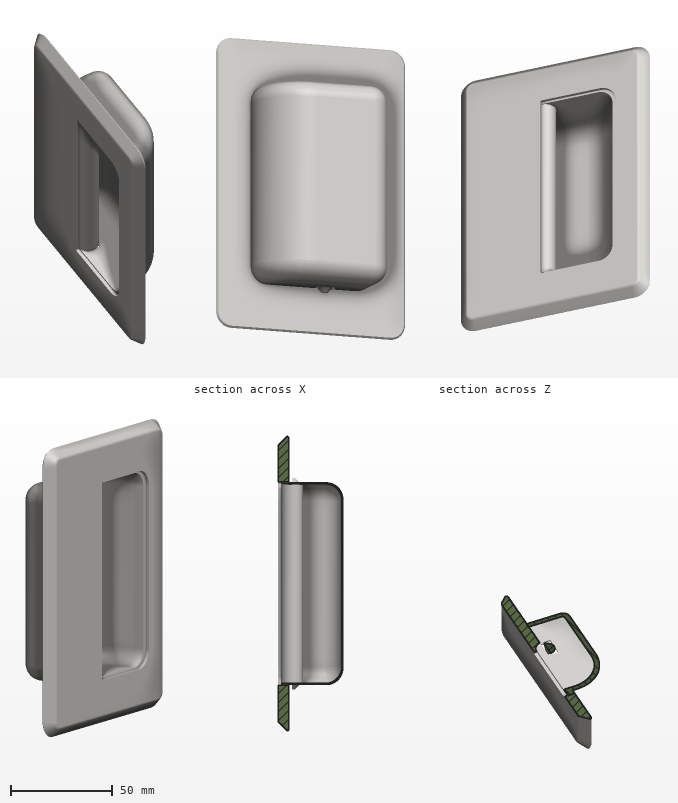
import cadquery as cq


plate_width = 100.0
plate_height = 145.0
plate_thickness = 5.5
plate_corner_radius = 8.0
plate_bevel_rounding = 2.0
plate_back_chamfer = 0.9
rim_flat = 0.02
plate_bevel = plate_thickness - plate_back_chamfer - rim_flat

overall_depth = 32.0
cup_width = 64.0
cup_height = 99.3
cup_wall = 0.75
cup_edge_radius = 8.5
cup_sweep_radius = 24.5

bar_radius = 5.35
bar_cover = 1.5
bar_end_gap = 0.35
bar_x = -6.3
bar_y = bar_cover + bar_radius
snap_radius = 4.0
snap_tip_radius = 1.5
snap_cone_height = snap_radius - snap_tip_radius
snap_stub_length = 0.9

opening_right = 33.6
opening_height = 99.8
opening_corner_radius = 8.5
opening_left_rounding = 0.8
collar_depth = 1.7

window_width = 9.75
window_front = bar_y + 0.3
window_back = bar_y + snap_radius + 0.05
window_x = -6.5
slot_neck_width = 8.5

cup_inner_height = cup_height - 2 * cup_wall
cup_inner_right = cup_width / 2 - cup_wall
bar_half_length = cup_inner_height / 2 - bar_end_gap


def box_between(x_range, y_range, z_range):
    """Box spanning the given ranges along X, Y and Z."""
    size = [high - low for low, high in (x_range, y_range, z_range)]
    corner = (x_range[0], y_range[0], z_range[0])
    return cq.Workplane("XY").box(*size, centered=False).translate(corner)


def bar_cylinder(radius, half_length):
    """Cylinder on the bar axis, symmetric about Z = 0."""
    start = cq.Workplane("XY", origin=(bar_x, bar_y, -half_length))
    return start.circle(radius).extrude(2 * half_length)


def right_rounded_block(right, height, corner_radius, y_range):
    """Block from the bar axis to the right, rounded at its right-hand corners."""
    block = box_between((bar_x, right), y_range, (-height / 2, height / 2))
    return block.edges("|Y and >X").fillet(corner_radius)


def opening_form(y_range):
    """Full outline of the hand opening over the given range of depths."""
    block = right_rounded_block(opening_right, opening_height, opening_corner_radius, y_range)
    return block.edges("|Y and <X").fillet(opening_left_rounding)


def make_plate():
    blank = box_between(
        (-plate_width / 2, plate_width / 2),
        (0, plate_thickness),
        (-plate_height / 2, plate_height / 2),
    )
    blank = blank.edges("|Y").fillet(plate_corner_radius)
    blank = blank.faces(">Y").chamfer(plate_back_chamfer)
    blank = blank.faces("<Y").chamfer(plate_bevel)
    blank = blank.faces("<Y").edges().fillet(plate_bevel_rounding)

    bar_groove = bar_cylinder(bar_radius, cup_inner_height / 2)
    return blank.cut(opening_form((0, plate_thickness))).cut(bar_groove)


def cup_form(inset):
    """Solid form of the cup, drawn in by the inset on all sides but the rim."""
    half_width = cup_width / 2 - inset
    half_height = cup_height / 2 - inset
    form = box_between(
        (-half_width, half_width),
        (plate_thickness, overall_depth - inset),
        (-half_height, half_height),
    )
    form = form.edges("|Z and >X and >Y").fillet(cup_sweep_radius - inset)
    rounded = "((|Z and <X) or (not |Z)) and (not <Y)"
    return form.edges(rounded).fillet(cup_edge_radius - inset)


def make_collar():
    """Rim of the cup that fills the hand opening around the hollow."""
    depths = (collar_depth, plate_thickness)
    hollow = right_rounded_block(
        cup_inner_right, cup_inner_height, cup_edge_radius - cup_wall, depths
    )
    bar_groove = bar_cylinder(bar_radius, cup_inner_height / 2)
    return opening_form(depths).cut(hollow).cut(bar_groove)


def make_cup():
    cup = cup_form(0).cut(cup_form(cup_wall)).union(make_collar())
    full_height = (-cup_height / 2, cup_height / 2)
    window = box_between(
        (window_x - window_width / 2, window_x + window_width / 2),
        (window_front, window_back),
        full_height,
    )
    slot_neck = box_between(
        (bar_x - slot_neck_width / 2, bar_x + slot_neck_width / 2),
        (plate_thickness, window_front),
        full_height,
    )
    return cup.cut(window).cut(slot_neck)


def make_snap():
    """Half-round stub and cone on the upper end of the bar."""
    stub_top = bar_half_length + snap_stub_length
    tip = stub_top + snap_cone_height
    profile = [
        (0, bar_half_length),
        (snap_radius, bar_half_length),
        (snap_radius, stub_top),
        (snap_tip_radius, tip),
        (0, tip),
    ]
    axis_plane = cq.Workplane("XZ", origin=(bar_x, bar_y, 0))
    turned = axis_plane.polyline(profile).close().revolve(360, (0, 0, 0), (0, 1, 0))
    back_half = box_between(
        (bar_x - snap_radius, bar_x + snap_radius),
        (bar_y, bar_y + snap_radius),
        (bar_half_length, tip),
    )
    return turned.intersect(back_half)


def make_bar():
    snap = make_snap()
    return bar_cylinder(bar_radius, bar_half_length).union(snap).union(snap.mirror("XY"))


plate = make_plate()
cup = make_cup()
bar = make_bar()

result = cq.Compound.makeCompound([plate.val(), cup.val(), bar.val()])